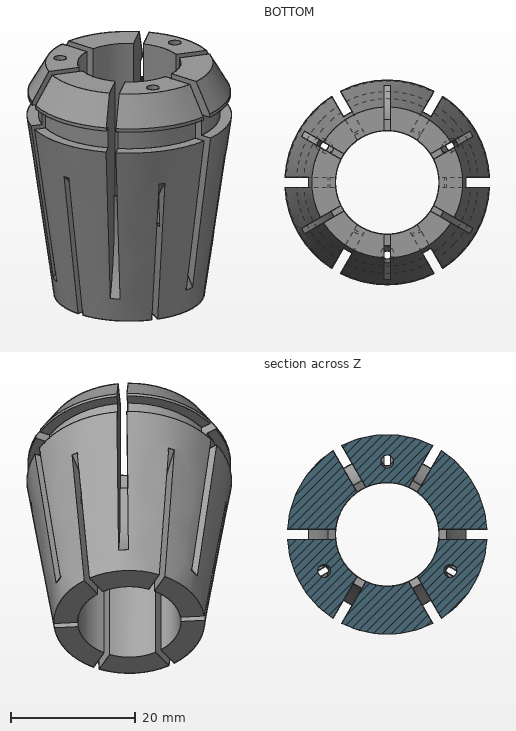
import cadquery as cq
import math

height = 40.0
bore_radius = 8.3
largest_diameter = 33.0
taper_half_angle = 8.0
shoulder_z = 30.95
neck_radius = 14.65
rim_radius = 16.3
rim_bottom_z = 34.5
rim_top_z = 35.1
nose_radius = 13.5
shoulder_radius = largest_diameter / 2
base_radius = shoulder_radius - shoulder_z * math.tan(math.radians(taper_half_angle))

slots_per_set = 6
slot_pitch = 360.0 / slots_per_set
slot_reach = shoulder_radius + 0.4

upper_slot_width = 1.6
upper_saw_radius = 23.0
upper_saw_centre_r = 32.15
upper_saw_centre_z = 16.3
upper_lip_z = 20.6
upper_floor_slope = 17.0

lower_slot_width = 1.0
lower_saw_radius = 17.2
lower_saw_centre_r = 26.75
lower_saw_centre_z = 11.8
lower_lip_z = 16.3

hole_count = 3
hole_diameter = 2.0
hole_depth = 23.6
hole_lean = 2.0
hole_circle_radius = 11.3
first_hole_angle = 90.0
hole_overshoot = 0.4


def turn(shape, angle):
    """Turn a shape about the collet axis."""
    return shape.rotate((0, 0, 0), (0, 0, 1), angle)


def make_body():
    """Tapered sleeve with a neck groove and a conical nose."""
    profile = [
        (-bore_radius, 0),
        (-base_radius, 0),
        (-shoulder_radius, shoulder_z),
        (-neck_radius, shoulder_z),
        (-neck_radius, rim_bottom_z),
        (-rim_radius, rim_bottom_z),
        (-rim_radius, rim_top_z),
        (-nose_radius, height),
        (-bore_radius, height),
    ]
    return cq.Workplane("XZ").polyline(profile).close().revolve(360, (0, 0), (0, 1))


def make_slot(width, saw_centre, saw_radius, opening_outline):
    """Slot along +X: a round saw cut joined to the straight opening at one end of the collet."""
    saw_cut = cq.Workplane("XZ").center(*saw_centre).circle(saw_radius).extrude(width / 2, both=True)
    opening = cq.Workplane("XZ").polyline(opening_outline).close().extrude(width / 2, both=True)
    return saw_cut.union(opening)


def make_upper_slot():
    saw_rise = upper_lip_z - upper_saw_centre_z
    lip_radius = upper_saw_centre_r - math.sqrt(upper_saw_radius**2 - saw_rise**2)
    axis_z = upper_lip_z - lip_radius * math.tan(math.radians(upper_floor_slope))
    opening = [
        (0, axis_z),
        (lip_radius, upper_lip_z),
        (slot_reach, upper_lip_z),
        (slot_reach, height),
        (0, height),
    ]
    saw_centre = (upper_saw_centre_r, upper_saw_centre_z)
    return make_slot(upper_slot_width, saw_centre, upper_saw_radius, opening)


def make_lower_slot():
    opening = [
        (0, 0),
        (slot_reach, 0),
        (slot_reach, lower_lip_z),
        (0, lower_lip_z),
    ]
    saw_centre = (lower_saw_centre_r, lower_saw_centre_z)
    return make_slot(lower_slot_width, saw_centre, lower_saw_radius, opening)


def make_hole():
    """Leaning hole on the +X side, started a little above the nose face."""
    lean = math.radians(hole_lean)
    downwards = cq.Vector(math.sin(lean), 0, -math.cos(lean))
    start = cq.Vector(hole_circle_radius, 0, height) - downwards * hole_overshoot
    hole = cq.Solid.makeCylinder(hole_diameter / 2, hole_depth + hole_overshoot, start, downwards)
    return cq.Workplane(hole)


result = make_body()

upper_slot = make_upper_slot()
lower_slot = make_lower_slot()
for index in range(slots_per_set):
    result = result.cut(turn(upper_slot, index * slot_pitch))
    result = result.cut(turn(lower_slot, (index + 0.5) * slot_pitch))

hole = make_hole()
for index in range(hole_count):
    result = result.cut(turn(hole, first_hole_angle + index * 360.0 / hole_count))